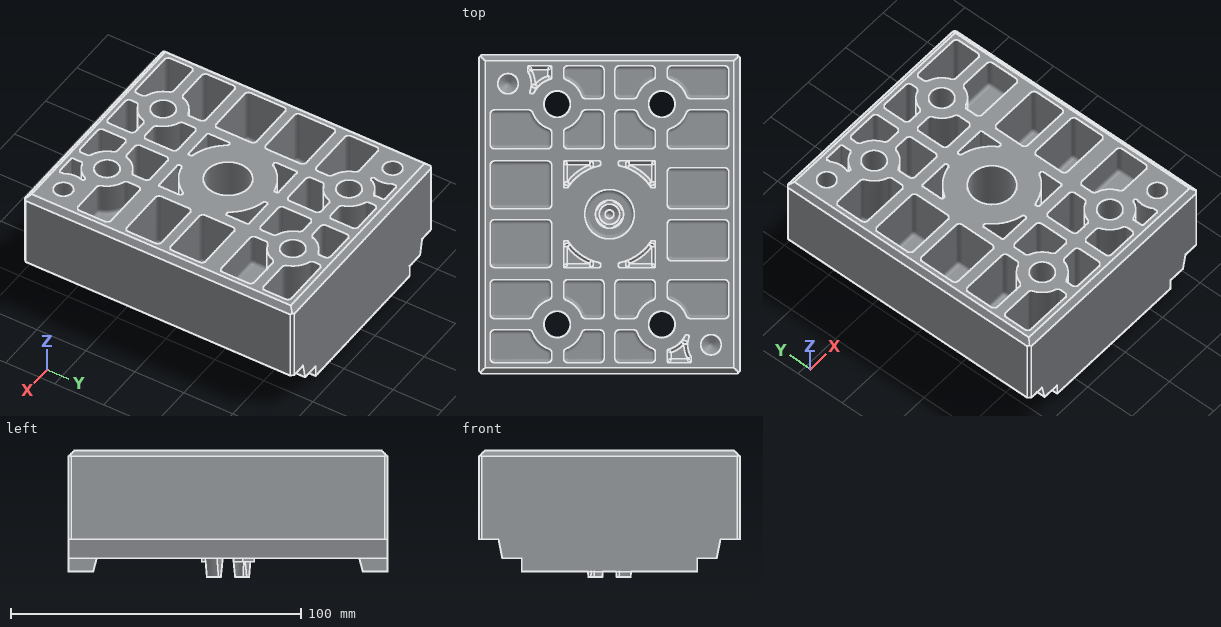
import cadquery as cq
import math

LENGTH_X = 90.0
LENGTH_Y = 110.0
RIM_CHAMFER = 2.1
CORNER_CHAMFER = 1.0
BLOCK_BOTTOM = -30.7
PLINTH_BOTTOM = -37.2
FEET_BOTTOM = -41.8
PRONG_BOTTOM = -43.7
PLINTH_TOP_HALF = 38.3
PLINTH_BOTTOM_HALF = 37.0
FOOT_HALF_X = 30.2
FOOT_TOP_REACH = 9.8
FOOT_BOTTOM_REACH = 8.6

POCKET_DEPTH = 22.0
SHALLOW_POCKET_DEPTH = 12.5
CORNER_RADIUS = 1.5
FLOOR_RADIUS = 1.4
SMALL_CORNER_RADIUS = 0.5
SMALL_FLOOR_CHAMFER = 1.3
RIB_HALF = 1.9
INNER_COLUMN = (RIB_HALF, 15.8)
OUTER_COLUMN = (19.9, 41.1)
INNER_ROW = (22.5, 36.0)
OUTER_ROW = (39.8, 51.2)
LEFT_MIDDLE_ROW = (RIB_HALF, 18.4)
RIGHT_MIDDLE_ROW = (RIB_HALF, 16.1)
HUB_POCKET_X = (3.1, INNER_COLUMN[1])
HUB_POCKET_Y = (9.1, LEFT_MIDDLE_ROW[1])
DOWEL_POCKET_X = (19.9, 28.2)
DOWEL_POCKET_Y = (41.6, OUTER_ROW[1])

BOLT_X = 18.0
BOLT_Y = 38.0
BOLT_DIAMETER = 9.0
BOLT_WALL_RADIUS = 8.9
DOWEL_X = 35.0
DOWEL_Y = 45.0
DOWEL_DIAMETER = 7.0
DOWEL_DEPTH = 11.0
DRILL_TIP_ANGLE = 118.0
DOWEL_WALL_RADIUS = 8.0
HUB_RADIUS = 17.0

BORE_DIAMETER = 17.0
BORE_FLOOR_DIAMETER = 14.0
BORE_DEPTH = 22.0
SEAT_DIAMETER = 9.7
SEAT_FLOOR_DIAMETER = 9.0
SEAT_DEPTH = 2.2
SEAT_NOTCH_WIDTH = 3.0
CORE_DIAMETER = 7.0
CORE_DEPTH = 2.2
PILOT_DIAMETER = 3.0
PILOT_DEPTH = 2.2

SOCKET_RADIUS = 5.7
PRONG_TOP_RADIUS = 8.7
PRONG_BOTTOM_RADIUS = 8.0
DIAGONAL_HALF_WIDTH = 2.9
SLOT_TOP_HALF = 1.8
SLOT_BOTTOM_HALF = 2.4

TAB_RADIUS = 10.5
TAB_THICKNESS = 1.2


def box(x_range, y_range, z_range):
    """Axis-aligned box between the given limits."""
    return (
        cq.Workplane("XY", origin=(0, 0, z_range[0]))
        .moveTo(x_range[0], y_range[0])
        .lineTo(x_range[1], y_range[0])
        .lineTo(x_range[1], y_range[1])
        .lineTo(x_range[0], y_range[1])
        .close()
        .extrude(z_range[1] - z_range[0])
    )


def cylinder(x, y, radius, z_top, z_bottom):
    """Upright cylinder."""
    return cq.Workplane("XY", origin=(x, y, z_bottom)).circle(radius).extrude(z_top - z_bottom)


def cone(x, y, z_top, z_bottom, top_radius, bottom_radius):
    """Upright cone; a bottom radius of zero gives a pointed tip."""
    height = z_top - z_bottom
    solid = cq.Solid.makeCone(top_radius, bottom_radius, height, cq.Vector(x, y, z_top), cq.Vector(0, 0, -1))
    return cq.Workplane(obj=solid)


def tip_height(radius):
    """Height of a drill tip of the given radius."""
    return radius / math.tan(math.radians(DRILL_TIP_ANGLE / 2))


def prism(half_x, half_y, z_top, z_bottom):
    return box((-half_x, half_x), (-half_y, half_y), (z_bottom, z_top))


def make_block():
    """Chamfered block standing on a drafted plinth with a foot along each Y end."""
    half_x = LENGTH_X / 2
    half_y = LENGTH_Y / 2
    block = prism(half_x, half_y, 0, BLOCK_BOTTOM).faces(">Z").chamfer(RIM_CHAMFER)
    block = block.intersect(prism(half_x, half_y, 0, BLOCK_BOTTOM).edges("|Z").chamfer(CORNER_CHAMFER))
    plinth = (
        cq.Workplane("XZ", origin=(0, half_y, 0))
        .moveTo(-PLINTH_TOP_HALF, BLOCK_BOTTOM)
        .lineTo(PLINTH_TOP_HALF, BLOCK_BOTTOM)
        .lineTo(PLINTH_BOTTOM_HALF, PLINTH_BOTTOM)
        .lineTo(-PLINTH_BOTTOM_HALF, PLINTH_BOTTOM)
        .close()
        .extrude(LENGTH_Y)
    )
    foot = (
        cq.Workplane("YZ", origin=(-FOOT_HALF_X, 0, 0))
        .moveTo(half_y, PLINTH_BOTTOM)
        .lineTo(half_y, FEET_BOTTOM)
        .lineTo(half_y - FOOT_BOTTOM_REACH, FEET_BOTTOM)
        .lineTo(half_y - FOOT_TOP_REACH, PLINTH_BOTTOM)
        .close()
        .extrude(2 * FOOT_HALF_X)
    )
    return block.union(plinth).union(foot).union(foot.mirror("XZ"))


def signed(limits, sign):
    """Limits placed on the positive or negative side of an axis."""
    return sorted(sign * limit for limit in limits)


def walled_box(x_range, y_range, z_range, walls, inset=0):
    """Box shrunk sideways by the inset and kept that far clear of the (x, y, radius) walls."""
    x_inner = (x_range[0] + inset, x_range[1] - inset)
    y_inner = (y_range[0] + inset, y_range[1] - inset)
    space = box(x_inner, y_inner, z_range)
    for x, y, radius in walls:
        space = space.cut(cylinder(x, y, radius + inset, z_range[1], z_range[0]))
    return space


def large_pocket(x_range, y_range, walls, depth):
    """Pocket with rounded corners and a rounded floor edge."""
    pocket = walled_box(x_range, y_range, (-depth, 0), walls)
    return pocket.edges("|Z").fillet(CORNER_RADIUS).faces("<Z").edges().fillet(FLOOR_RADIUS)


def small_pocket(x_range, y_range, walls):
    """Narrow three-sided pocket whose walls slope in to a small three-sided floor."""
    slope_top = SMALL_FLOOR_CHAMFER - POCKET_DEPTH
    floor = walled_box(x_range, y_range, (-POCKET_DEPTH, 0), walls, SMALL_FLOOR_CHAMFER)
    slope = floor.faces("<Z").wires().toPending().workplane(invert=True)
    slope = slope.extrude(SMALL_FLOOR_CHAMFER, taper=-45, combine=False)
    pocket = walled_box(x_range, y_range, (-POCKET_DEPTH, 0), walls).edges("|Z").fillet(SMALL_CORNER_RADIUS)
    upper = pocket.intersect(box(x_range, y_range, (slope_top, 0)))
    return upper.union(slope.intersect(pocket))


def make_pockets():
    """All pocket volumes."""
    pockets = []
    for side_x in (-1, 1):
        middle_row = LEFT_MIDDLE_ROW if side_x < 0 else RIGHT_MIDDLE_ROW
        inner_row_depth = POCKET_DEPTH if side_x < 0 else SHALLOW_POCKET_DEPTH
        inner_x = signed(INNER_COLUMN, side_x)
        outer_x = signed(OUTER_COLUMN, side_x)
        for side_y in (-1, 1):
            inner_y = signed(INNER_ROW, side_y)
            outer_y = signed(OUTER_ROW, side_y)
            bolt_wall = (side_x * BOLT_X, side_y * BOLT_Y, BOLT_WALL_RADIUS)
            dowel_wall = (side_x * DOWEL_X, side_y * DOWEL_Y, DOWEL_WALL_RADIUS)
            hub_wall = (0, 0, HUB_RADIUS)

            pockets.append(large_pocket(inner_x, inner_y, [bolt_wall], POCKET_DEPTH))
            pockets.append(large_pocket(inner_x, outer_y, [bolt_wall], POCKET_DEPTH))
            pockets.append(large_pocket(outer_x, inner_y, [bolt_wall], inner_row_depth))
            pockets.append(large_pocket(outer_x, signed(middle_row, side_y), [], POCKET_DEPTH))

            hub_x = signed(HUB_POCKET_X, side_x)
            hub_y = signed(HUB_POCKET_Y, side_y)
            pockets.append(small_pocket(hub_x, hub_y, [hub_wall]))

            if side_x != side_y:
                dowel_x = signed(DOWEL_POCKET_X, side_x)
                dowel_y = signed(DOWEL_POCKET_Y, side_y)
                pockets.append(small_pocket(dowel_x, dowel_y, [bolt_wall, dowel_wall]))
            else:
                pockets.append(large_pocket(outer_x, outer_y, [bolt_wall], POCKET_DEPTH))
    return pockets


def make_holes():
    """Four through bolt holes and two blind drilled dowel holes."""
    holes = []
    for side_x in (-1, 1):
        for side_y in (-1, 1):
            holes.append(cylinder(side_x * BOLT_X, side_y * BOLT_Y, BOLT_DIAMETER / 2, 0, FEET_BOTTOM))
        x = side_x * DOWEL_X
        y = -side_x * DOWEL_Y
        radius = DOWEL_DIAMETER / 2
        tip_bottom = -DOWEL_DEPTH - tip_height(radius)
        holes.append(cylinder(x, y, radius, 0, -DOWEL_DEPTH))
        holes.append(cone(x, y, -DOWEL_DEPTH, tip_bottom, radius, 0))
    return holes


def make_central_bore():
    """Bore with a rounded floor, then a notched tapered seat, a conical core and a pilot hole."""
    floor_radius = (BORE_DIAMETER - BORE_FLOOR_DIAMETER) / 2
    bore = cylinder(0, 0, BORE_DIAMETER / 2, 0, -BORE_DEPTH).faces("<Z").edges().fillet(floor_radius)

    seat_bottom = -BORE_DEPTH - SEAT_DEPTH
    seat = cone(0, 0, -BORE_DEPTH, seat_bottom, SEAT_DIAMETER / 2, SEAT_FLOOR_DIAMETER / 2)
    half_notch = SEAT_NOTCH_WIDTH / 2
    half_seat = SEAT_DIAMETER / 2
    notches = prism(half_seat, half_notch, -BORE_DEPTH, seat_bottom)
    notches = notches.union(prism(half_notch, half_seat, -BORE_DEPTH, seat_bottom))
    notches = notches.intersect(cylinder(0, 0, half_seat, -BORE_DEPTH, seat_bottom))

    core_bottom = seat_bottom - CORE_DEPTH
    core_radius = CORE_DIAMETER / 2
    core = cylinder(0, 0, core_radius, seat_bottom, core_bottom)
    core_tip = core_bottom - tip_height(core_radius)
    core = core.union(cone(0, 0, core_bottom, core_tip, core_radius, 0))

    pilot_bottom = core_tip - PILOT_DEPTH
    pilot_radius = PILOT_DIAMETER / 2
    pilot = cylinder(0, 0, pilot_radius, core_bottom, pilot_bottom)
    pilot = pilot.union(cone(0, 0, pilot_bottom, pilot_bottom - tip_height(pilot_radius), pilot_radius, 0))
    return [bore, seat, notches, core, pilot]


def slot(plane):
    """Slot across the prongs and tabs, widening downwards, running square to the given plane."""
    return (
        cq.Workplane(plane)
        .moveTo(-SLOT_TOP_HALF, PLINTH_BOTTOM)
        .lineTo(SLOT_TOP_HALF, PLINTH_BOTTOM)
        .lineTo(SLOT_BOTTOM_HALF, PRONG_BOTTOM)
        .lineTo(-SLOT_BOTTOM_HALF, PRONG_BOTTOM)
        .close()
        .extrude(TAB_RADIUS, both=True)
    )


def diagonal_strip(angle):
    """Vertical slab through the Z axis, turned to lie along a diagonal."""
    strip = prism(TAB_RADIUS, DIAGONAL_HALF_WIDTH, PLINTH_BOTTOM, PRONG_BOTTOM)
    return strip.rotate((0, 0, 0), (0, 0, 1), angle)


def make_prongs():
    """Two tapered prongs and two low tabs: diagonal pieces of a tube around a socket."""
    prongs = cone(0, 0, PLINTH_BOTTOM, PRONG_BOTTOM, PRONG_TOP_RADIUS, PRONG_BOTTOM_RADIUS)
    prongs = prongs.intersect(diagonal_strip(-45))
    tabs = cylinder(0, 0, TAB_RADIUS, PLINTH_BOTTOM, PLINTH_BOTTOM - TAB_THICKNESS)
    tabs = tabs.intersect(diagonal_strip(45))
    socket = cylinder(0, 0, SOCKET_RADIUS, PLINTH_BOTTOM, PRONG_BOTTOM)
    return prongs.union(tabs).cut(socket).cut(slot("XZ")).cut(slot("YZ"))


result = make_block().union(make_prongs())
for void in make_pockets() + make_holes() + make_central_bore():
    result = result.cut(void)